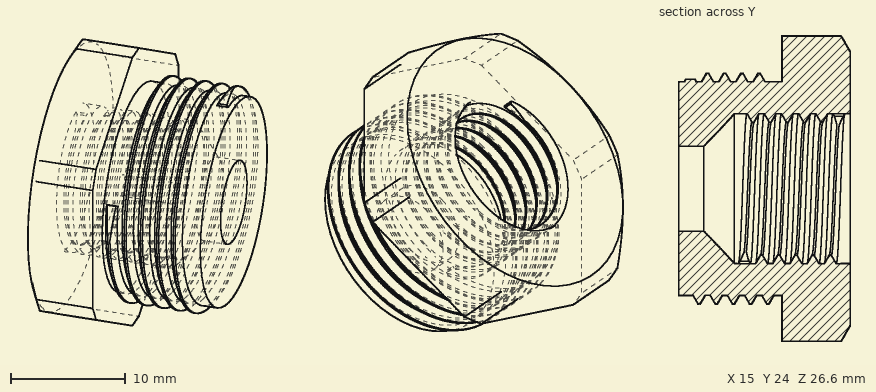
import cadquery as cq
import math

TOTAL_LENGTH = 15.0
HEAD_LENGTH = 6.0
ACROSS_FLATS = 24.0
ACROSS_CORNERS = 26.63
HEAD_FACE_DIAMETER = 23.83
HEAD_BEVEL_ANGLE = 30.0
HEAD_EDGE_FILLET = 0.13
EDGE_TOLERANCE = 0.003
SHANK_DIAMETER = 18.67

BORE_DIAMETER = 13.05
OUTLET_DIAMETER = 7.4
MOUTH_ROUND = 0.19
BORE_DEPTH = 10.12
SEAT_DEPTH = 12.78

FOUR_PITCHES = 6.0
PITCH = FOUR_PITCHES / 4
RIDGE_HEIGHT = 0.75
CREST_WIDTH = PITCH / 8
FLANK_HALF_ANGLE = 30.0
FLANK_SLOPE = math.tan(math.radians(FLANK_HALF_ANGLE))
RIDGE_EMBED = 0.08
RUNOUT_TURNS = 0.05
RUNOUT_HEIGHT = 0.2
POINTS_PER_TURN = 24
MIN_SPLINE_STEPS = 2

OUTER_START_X = 6.76
OUTER_START_ANGLE = 162.0
OUTER_TURNS = 4.8
INNER_START_X = 1.0
INNER_START_ANGLE = 90.0
INNER_TURNS = 5.5


def x_cylinder(diameter, length):
    return cq.Workplane("YZ").circle(diameter / 2).extrude(length)


def hexagon(across_flats, corner_angle):
    radius = across_flats / 2 / math.cos(math.pi / 6)
    corners = []
    for i in range(6):
        angle = math.radians(corner_angle + 60 * i)
        corners.append((radius * math.cos(angle), radius * math.sin(angle)))
    return cq.Workplane("YZ").polyline(corners).close().extrude(HEAD_LENGTH)


def make_head():
    """Hexagon with corners cut flat and a turned bevel on its outer face."""
    head = hexagon(ACROSS_FLATS, 30).intersect(hexagon(ACROSS_CORNERS, 0))
    face_radius = HEAD_FACE_DIAMETER / 2
    outer_radius = ACROSS_CORNERS
    bevel_end = (outer_radius - face_radius) * math.tan(math.radians(HEAD_BEVEL_ANGLE))
    envelope = (
        cq.Workplane("XY")
        .polyline([(0, 0), (0, face_radius), (bevel_end, outer_radius), (bevel_end, 0)])
        .close()
        .revolve(360, (0, 0), (1, 0))
    )
    head = head.intersect(envelope)
    bevel = head.faces("%CONE")
    rim = [edge for edge in bevel.edges().vals() if edge.Center().x > EDGE_TOLERANCE]
    return head.newObject(rim).fillet(HEAD_EDGE_FILLET)


def make_bore():
    """Rounded mouth, bore, conical seat and outlet."""
    radius = BORE_DIAMETER / 2
    outlet = OUTLET_DIAMETER / 2
    arc_inset = MOUTH_ROUND * (1 - math.sqrt(0.5))
    return (
        cq.Workplane("XY")
        .moveTo(0, 0)
        .lineTo(0, radius + MOUTH_ROUND)
        .threePointArc((arc_inset, radius + arc_inset), (MOUTH_ROUND, radius))
        .lineTo(BORE_DEPTH, radius)
        .lineTo(SEAT_DEPTH, outlet)
        .lineTo(TOTAL_LENGTH, outlet)
        .lineTo(TOTAL_LENGTH, 0)
        .close()
        .revolve(360, (0, 0), (1, 0))
    )


def make_ridge(root_radius, outward, start_x, start_angle, piece):
    """Helical ridge whose height changes evenly from one end to the other.

    outward is 1 for a ridge standing out of a shaft, -1 for one inside a bore.
    """
    first_turn, last_turn, first_height, last_height = piece
    span = last_turn - first_turn

    def section(turn):
        """Four corners of the ridge profile after the given number of turns."""
        share = (turn - first_turn) / span
        height = first_height + share * (last_height - first_height)
        center = start_x + PITCH * turn
        angle = math.radians(start_angle) + 2 * math.pi * turn
        points = []
        for level, side in ((-RIDGE_EMBED, -1), (height, -1), (height, 1), (-RIDGE_EMBED, 1)):
            radius = root_radius + outward * level
            half_width = CREST_WIDTH / 2 + (RIDGE_HEIGHT - level) * FLANK_SLOPE
            x = center + side * half_width
            points.append(cq.Vector(x, radius * math.cos(angle), radius * math.sin(angle)))
        return points

    steps = math.ceil(span * POINTS_PER_TURN) + MIN_SPLINE_STEPS
    sections = [section(first_turn + span * i / steps) for i in range(steps + 1)]
    rails = [cq.Edge.makeSpline(list(rail)) for rail in zip(*sections)]
    faces = [cq.Face.makeRuledSurface(rails[i - 1], rails[i]) for i in range(len(rails))]
    for end in (sections[0], sections[-1]):
        faces.append(cq.Face.makeFromWires(cq.Wire.makePolygon(end, close=True)))
    return cq.Solid.makeSolid(cq.Shell.makeShell(faces)).fix()


def add_thread(body, root_diameter, outward, start_x, start_angle, turns):
    """Join a ridge with a rising lead-in and a falling run-out."""
    pieces = [
        (0, RUNOUT_TURNS, RUNOUT_HEIGHT, RIDGE_HEIGHT),
        (RUNOUT_TURNS, turns - RUNOUT_TURNS, RIDGE_HEIGHT, RIDGE_HEIGHT),
        (turns - RUNOUT_TURNS, turns, RIDGE_HEIGHT, RUNOUT_HEIGHT),
    ]
    for piece in pieces:
        ridge = make_ridge(root_diameter / 2, outward, start_x, start_angle, piece)
        body = body.union(cq.Workplane(ridge))
    return body


shank = x_cylinder(SHANK_DIAMETER, TOTAL_LENGTH)
shank = add_thread(shank, SHANK_DIAMETER, 1, OUTER_START_X, OUTER_START_ANGLE, OUTER_TURNS)
body = make_head().union(shank).cut(make_bore())
result = add_thread(body, BORE_DIAMETER, -1, INNER_START_X, INNER_START_ANGLE, INNER_TURNS)